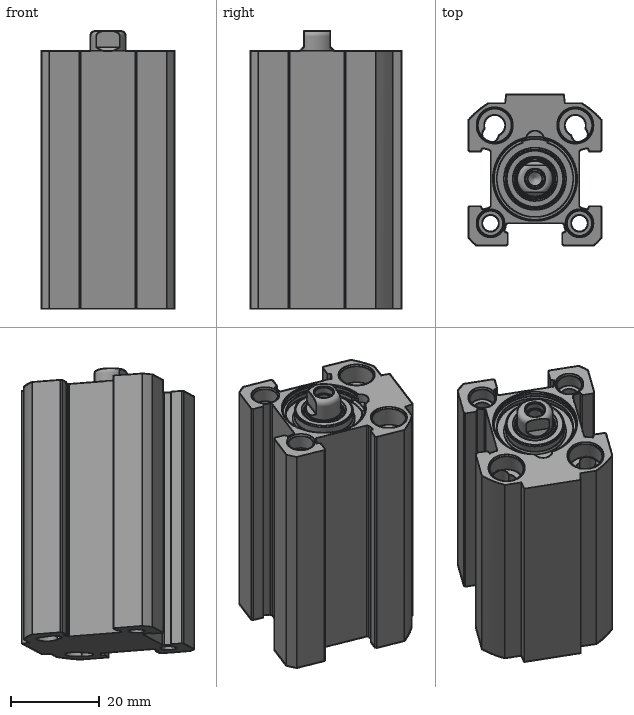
import cadquery as cq
import math

body_height = 58.0
total_height = 62.5
half_width = 15.0
back_face_y = 17.0
tab_face_y = 19.0
tab_tip_half = 6.5
tab_root_half = 6.75
corner_radius = 20.0

slot_mouth_half = 6.1
slot_lip_depth = 2.8
slot_undercut_depth = 3.2
slot_undercut_half = 6.9
slot_floor_depth = 5.0
slot_floor_half = 6.2
slot_corner_chamfer = 0.3
lip_edge_chamfer = 0.3

mount_offset = 10.0
mount_dia = 3.7
front_recess_dia = 5.6
front_recess_rim_dia = 6.3
front_recess_depth = 3.6
rear_x = 9.05
rear_y = 12.0
rear_dia = 4.7
rear_recess_dia = 7.55
rear_recess_rim_dia = 8.2
rear_recess_depth = 4.7

seat_dia = 17.9
seat_depth = 12.5
entry_dia = 18.45
entry_rim_dia = 19.0
ring_groove_dia = 19.0
notch_dia = 4.1
notch_centre_y = 8.75

ring_inner_dia = 17.2
ring_thickness = 1.0
ring_gap_angle = 38.0

flange_drop = 2.75
collar_drop = 0.3
collar_dia = 13.2
collar_foot_dia = 14.0
collar_tip_dia = 12.6
gland_bore_dia = 9.2
gland_bore_rim_dia = 10.0

wiper_drop = 0.45
wiper_lip_dia = 8.45

rod_dia = 8.0
rod_fillet = 1.2
flat_width = 6.0
flat_length = 3.6
thread_rim_dia = 4.6
thread_dia = 4.1
thread_depth = 1.8
drill_dia = 3.25
drill_depth = 5.0
drill_point_angle = 118.0

seat_floor_z = body_height - seat_depth
flange_z = body_height - flange_drop
collar_z = body_height - collar_drop
ring_bottom_z = flange_z + (ring_groove_dia - seat_dia) / 2
ring_top_z = ring_bottom_z + ring_thickness
wiper_z = body_height - wiper_drop


def cylinder(diameter, bottom, top, x=0.0, y=0.0):
    """Upright cylinder between two levels."""
    return cq.Workplane("XY", origin=(x, y, bottom)).circle(diameter / 2).extrude(top - bottom)


def cone(bottom_dia, top_dia, bottom, top, x=0.0, y=0.0):
    """Upright cone frustum between two levels."""
    solid = cq.Solid.makeCone(bottom_dia / 2, top_dia / 2, top - bottom, pnt=cq.Vector(x, y, bottom))
    return cq.Workplane(obj=solid)


def rim_chamfer(bore_dia, rim_dia, top, x=0.0, y=0.0):
    """Cutter for a 45 degree chamfer on the rim of a bore."""
    return cone(bore_dia, rim_dia, top - (rim_dia - bore_dia) / 2, top, x, y)


def slot_cutter(angle):
    """Dovetail slot in the front face, turned about the rod axis by angle degrees."""
    lip_y = -half_width + slot_lip_depth
    undercut_y = -half_width + slot_undercut_depth
    floor_y = -half_width + slot_floor_depth
    half_outline = [
        (slot_mouth_half + lip_edge_chamfer, -half_width),
        (slot_mouth_half, -half_width + lip_edge_chamfer),
        (slot_mouth_half, lip_y),
        (slot_undercut_half, undercut_y),
        (slot_floor_half + slot_corner_chamfer, floor_y - slot_corner_chamfer),
        (slot_floor_half, floor_y),
    ]
    mirrored = [(-x, y) for x, y in reversed(half_outline)]
    slot = cq.Workplane("XY").polyline(half_outline + mirrored).close().extrude(body_height)
    return slot.rotate((0, 0, 0), (0, 0, 1), angle)


def recessed_hole(x, y, hole_dia, recess_dia, rim_dia, recess_depth):
    """Cutter for a through hole with a chamfered recess at the top."""
    hole = cylinder(hole_dia, 0, body_height, x, y)
    recess = cylinder(recess_dia, body_height - recess_depth, body_height, x, y)
    return hole.union(recess).union(rim_chamfer(recess_dia, rim_dia, body_height, x, y))


def make_housing():
    corner_start = math.sqrt(corner_radius**2 - half_width**2)
    rear_corner_x = math.sqrt(corner_radius**2 - back_face_y**2)
    front_corner_mid = corner_radius * math.cos(math.pi / 4)
    rear_mid_angle = (math.atan2(corner_start, half_width) + math.atan2(back_face_y, rear_corner_x)) / 2
    rear_corner_mid = (corner_radius * math.cos(rear_mid_angle), corner_radius * math.sin(rear_mid_angle))
    right_half = (
        cq.Workplane("XY")
        .moveTo(0, -half_width)
        .lineTo(corner_start, -half_width)
        .threePointArc((front_corner_mid, -front_corner_mid), (half_width, -corner_start))
        .lineTo(half_width, corner_start)
        .threePointArc(rear_corner_mid, (rear_corner_x, back_face_y))
        .lineTo(tab_root_half, back_face_y)
        .lineTo(tab_tip_half, tab_face_y)
        .lineTo(0, tab_face_y)
        .close()
        .extrude(body_height)
    )
    housing = right_half.union(right_half.mirror("YZ"))

    for angle in (-90, 0, 90):
        housing = housing.cut(slot_cutter(angle))

    for side in (-1, 1):
        mount_x = side * mount_offset
        front_hole = recessed_hole(
            mount_x, -mount_offset, mount_dia, front_recess_dia, front_recess_rim_dia, front_recess_depth
        )
        rear_hole = recessed_hole(
            side * rear_x, rear_y, rear_dia, rear_recess_dia, rear_recess_rim_dia, rear_recess_depth
        )
        rear_mount_hole = cylinder(mount_dia, 0, body_height - rear_recess_depth, mount_x, mount_offset)
        housing = housing.cut(front_hole).cut(rear_hole).cut(rear_mount_hole)

    housing = housing.cut(cylinder(seat_dia, seat_floor_z, ring_bottom_z))
    housing = housing.cut(rim_chamfer(seat_dia, ring_groove_dia, ring_bottom_z))
    housing = housing.cut(cylinder(ring_groove_dia, ring_bottom_z, ring_top_z))
    housing = housing.cut(cylinder(entry_dia, ring_top_z, body_height))
    housing = housing.cut(rim_chamfer(entry_dia, entry_rim_dia, body_height))
    return housing.cut(cylinder(notch_dia, ring_bottom_z, body_height, 0, notch_centre_y))


def make_gland():
    foot_height = (collar_foot_dia - collar_dia) / 2
    tip_height = (collar_dia - collar_tip_dia) / 2
    gland = cylinder(seat_dia, seat_floor_z, flange_z)
    gland = gland.union(cylinder(collar_dia, flange_z, collar_z - tip_height))
    gland = gland.union(cone(collar_foot_dia, collar_dia, flange_z, flange_z + foot_height))
    gland = gland.union(cone(collar_dia, collar_tip_dia, collar_z - tip_height, collar_z))
    gland = gland.cut(cylinder(rod_dia, seat_floor_z, collar_z))
    gland = gland.cut(cylinder(gland_bore_dia, flange_z, collar_z))
    return gland.cut(rim_chamfer(gland_bore_dia, gland_bore_rim_dia, collar_z))


def make_wiper():
    lip_base_z = wiper_z - (gland_bore_dia - wiper_lip_dia) / 2
    wiper = cylinder(gland_bore_dia, flange_z, lip_base_z)
    wiper = wiper.union(cone(gland_bore_dia, wiper_lip_dia, lip_base_z, wiper_z))
    return wiper.cut(cylinder(rod_dia, flange_z, wiper_z))


def make_snap_ring():
    ring = cylinder(ring_groove_dia, ring_bottom_z, ring_top_z)
    ring = ring.cut(cylinder(ring_inner_dia, ring_bottom_z, ring_top_z))
    gap_half_width = ring_groove_dia * math.tan(math.radians(ring_gap_angle / 2))
    gap = (
        cq.Workplane("XY", origin=(0, 0, ring_bottom_z))
        .polyline([(0, 0), (gap_half_width, ring_groove_dia), (-gap_half_width, ring_groove_dia)])
        .close()
        .extrude(ring_thickness)
    )
    return ring.cut(gap)


def make_rod():
    rod = cylinder(rod_dia, seat_floor_z, total_height).faces(">Z").edges().fillet(rod_fillet)

    flat_y = flat_width / 2
    flat_z = total_height - flat_length
    runout = rod_dia / 2 - flat_y
    flat_profile = [
        (flat_y, total_height),
        (flat_y, flat_z),
        (flat_y + runout, flat_z - runout),
        (flat_y + runout, total_height),
    ]
    flat = cq.Workplane("YZ").polyline(flat_profile).close().extrude(rod_dia / 2, both=True)
    rod = rod.cut(flat).cut(flat.mirror("XZ"))

    drill_z = total_height - drill_depth
    point_height = drill_dia / 2 / math.tan(math.radians(drill_point_angle / 2))
    rod = rod.cut(rim_chamfer(thread_dia, thread_rim_dia, total_height))
    rod = rod.cut(cylinder(thread_dia, total_height - thread_depth, total_height))
    rod = rod.cut(cylinder(drill_dia, drill_z, total_height))
    return rod.cut(cone(0, drill_dia, drill_z - point_height, drill_z))


housing = make_housing()
gland = make_gland()
wiper = make_wiper()
snap_ring = make_snap_ring()
rod = make_rod()

result = cq.Compound.makeCompound(
    [housing.val(), gland.val(), wiper.val(), snap_ring.val(), rod.val()]
)